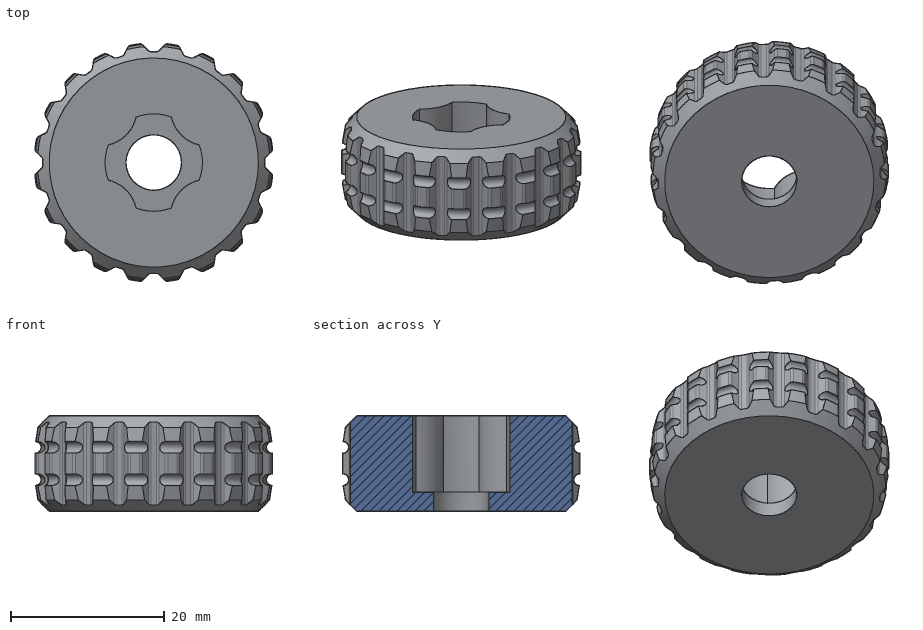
import cadquery as cq
import math

overall_width = 31.03
height = 12.5
half_height = height / 2

face_radius = 13.65
chamfer = 1.52
shoulder_radius = 15.48
shoulder_height = 2.92

ring_groove_radius = 0.75
ring_groove_height = 2.1

flute_count = 20
flute_floor_radius = 14.5
flute_floor_half_width = 0.55
flute_fillet = 0.5
flute_overrun = 1.25

edge_centre_along = overall_width / 2 - flute_fillet
edge_centre_across = (
    flute_floor_half_width + edge_centre_along - flute_floor_radius + flute_fillet * math.sqrt(2)
)
ridge_radius = flute_fillet + math.hypot(edge_centre_along, edge_centre_across)

bore_diameter = 7.2
pocket_diameter = 12.72
pocket_depth = 10.0
bite_count = 4
bite_start_angle = 180 / bite_count
bite_radius = 4.9
bite_centre_radius = 10.0


def rim_half():
    """Revolved upper half of the blank, resting on the mid-plane z = 0."""
    band_half_width = ring_groove_height - ring_groove_radius
    groove_bottom_radius = shoulder_radius - ring_groove_radius
    profile = (
        cq.Workplane("XZ")
        .lineTo(ridge_radius, 0)
        .lineTo(ridge_radius, band_half_width)
        .lineTo(shoulder_radius, band_half_width)
        .threePointArc(
            (groove_bottom_radius, ring_groove_height),
            (shoulder_radius, ring_groove_height + ring_groove_radius),
        )
        .lineTo(shoulder_radius, shoulder_height)
        .lineTo(face_radius + chamfer, half_height - chamfer)
        .lineTo(face_radius, half_height)
        .lineTo(0, half_height)
        .close()
    )
    return profile.revolve(360, (0, 0, 0), (0, 1, 0))


def fluted_prism():
    """Full-height gear-like prism with 45 degree flute flanks and rounded edges."""
    outer_radius = ridge_radius + flute_overrun
    flute_depth = outer_radius - flute_floor_radius
    mouth_half_width = flute_floor_half_width + flute_depth
    flute_outline = [
        (flute_floor_radius, -flute_floor_half_width),
        (flute_floor_radius, flute_floor_half_width),
        (outer_radius, mouth_half_width),
        (outer_radius, -mouth_half_width),
    ]
    flute = cq.Workplane("XY", origin=(0, 0, -half_height)).polyline(flute_outline).close().extrude(height)
    prism = cq.Workplane("XY", origin=(0, 0, -half_height)).circle(ridge_radius).extrude(height)
    for index in range(flute_count):
        prism = prism.cut(flute.rotate((0, 0, 0), (0, 0, 1), index * 360 / flute_count))
    return prism.edges("|Z").fillet(flute_fillet)


def lobed_pocket():
    """Round pocket with four arcs of wall material reaching into it."""
    floor_level = half_height - pocket_depth
    bites = (
        cq.Workplane("XY", origin=(0, 0, floor_level))
        .polarArray(bite_centre_radius, bite_start_angle, 360, bite_count)
        .circle(bite_radius)
        .extrude(pocket_depth)
    )
    pocket = cq.Workplane("XY", origin=(0, 0, floor_level)).circle(pocket_diameter / 2).extrude(pocket_depth)
    return pocket.cut(bites)


bore = cq.Workplane("XY", origin=(0, 0, -half_height)).circle(bore_diameter / 2).extrude(height)

upper_half = rim_half()
blank = upper_half.union(upper_half.mirror("XY"))
result = blank.intersect(fluted_prism()).cut(bore).cut(lobed_pocket())